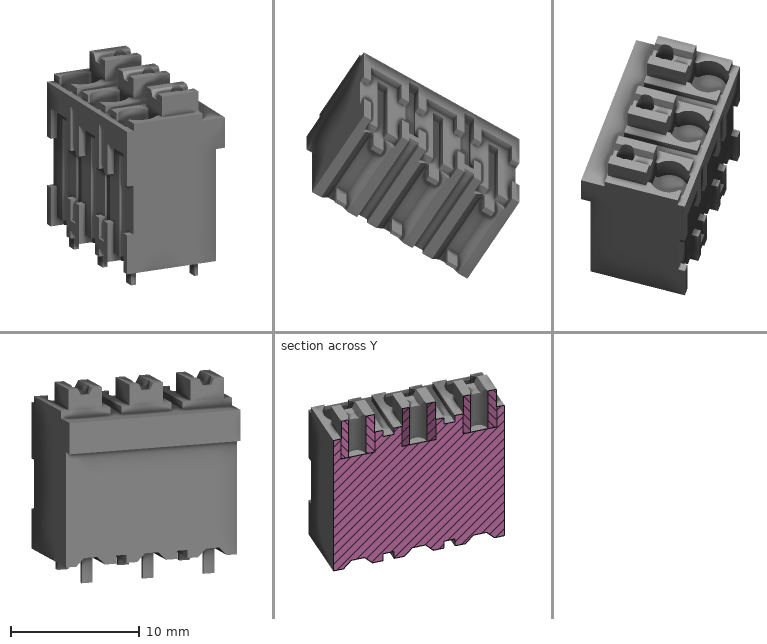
import cadquery as cq


pole_count = 3
pole_pitch = 5.08
pole_centres = [(i - (pole_count - 1) / 2) * pole_pitch for i in range(pole_count)]
gap_centres = [(a + b) / 2 for a, b in zip(pole_centres, pole_centres[1:])]
slot_width = 0.9

housing_width = 14.26
housing_depth = 8.5
housing_bottom = 1.53
housing_top = 13.21
rear_face = 7.72
rear_ledge_bottom = 10.72

pad_front = 0.59
pad_back = 6.57
pad_top = 13.8

relief_depth = 0.54
relief_top = 11.2
relief_width = 2.8
comb_bottom = 8.71
post_top = 4.73
end_post_width = 0.65
post_pair_width = 2.2

pole_slot_back = 1.13
pole_slot_top = 10.6
gap_slot_depth = 0.73
gap_slot_top = 12.38
gap_slot_bottom = 3.03

channel_top = 2.18
channel_mouth_width = 2.41

entry_shift = -0.05
entry_radius = 1.53
entry_centre_y = 1.93
entry_neck_width = 2.0
entry_front = 0.48
entry_floor = 11.93

button_width = relief_width
button_front = 3.37
button_back = 6.5
button_top = 15.45
notch_depth = 0.54
notch_top_width = 1.22
notch_shift = 0.02
notch_bottom_width = 0.65
tool_hole_diameter = 1.4
tool_hole_shift = 0.06
tool_hole_y = 5.53

pin_top = 3.09
front_pin_thickness = 0.43
rear_pin_front = 6.63
rear_pin_thickness = 0.31


def box(x_centre, width, y_front, y_back, z_bottom, z_top):
    """Box centred on x_centre, given by its limits in Y and Z."""
    block = cq.Workplane("XY").box(width, y_back - y_front, z_top - z_bottom, centered=(True, False, False))
    return block.translate((x_centre, y_front, z_bottom))


def trapezoid(x_centre, bottom_width, top_width, y_front, y_back, z_bottom, z_top):
    """Prism along Y with a symmetric trapezoidal section."""
    return (
        cq.Workplane("XZ", origin=(x_centre, y_front, 0))
        .moveTo(-bottom_width / 2, z_bottom)
        .lineTo(bottom_width / 2, z_bottom)
        .lineTo(top_width / 2, z_top)
        .lineTo(-top_width / 2, z_top)
        .close()
        .extrude(-(y_back - y_front))
    )


def make_shell():
    """Plain housing: main block, rear ledge and top pads separated by the gaps between poles."""
    shell = box(0, housing_width, 0, rear_face, housing_bottom, housing_top)
    shell = shell.union(box(0, housing_width, rear_face, housing_depth, rear_ledge_bottom, housing_top))
    shell = shell.union(box(0, housing_width, pad_front, pad_back, housing_top, pad_top))
    for x in gap_centres:
        shell = shell.cut(box(x, slot_width, pad_front, pad_back, housing_top, pad_top))
    return shell


def cut_front_relief(body):
    """Recess the front face, leaving the comb teeth above and the posts below."""
    body = body.cut(box(0, housing_width, 0, relief_depth, post_top, comb_bottom))
    for x in pole_centres:
        body = body.cut(box(x, relief_width, 0, relief_depth, comb_bottom, relief_top))

    inner_width = housing_width - 2 * end_post_width
    between_posts = box(0, inner_width, 0, relief_depth, housing_bottom, post_top)
    under_front_wall = box(0, inner_width, relief_depth, pole_slot_back, housing_bottom, channel_top)
    opening = between_posts.union(under_front_wall)
    for x in gap_centres:
        opening = opening.cut(box(x, post_pair_width, 0, pole_slot_back, housing_bottom, post_top))
    return body.cut(opening)


def cut_front_slots(body):
    """Cut the pole slots, which run out at the bottom, and the closed slots between the poles."""
    for x in pole_centres:
        body = body.cut(box(x, slot_width, 0, pole_slot_back, housing_bottom, pole_slot_top))
    for x in gap_centres:
        body = body.cut(box(x, slot_width, 0, gap_slot_depth, gap_slot_bottom, gap_slot_top))
    return body


def cut_underside_channels(body):
    """Cut the front-to-back channels: sloped at 45 degrees under poles, square between them."""
    channel_roof_width = channel_mouth_width - 2 * (channel_top - housing_bottom)
    for x in pole_centres:
        channel = trapezoid(
            x,
            channel_mouth_width,
            channel_roof_width,
            pole_slot_back,
            rear_face,
            housing_bottom,
            channel_top,
        )
        body = body.cut(channel)
    for x in gap_centres:
        body = body.cut(box(x, slot_width, 0, rear_face, housing_bottom, channel_top))
    return body


def cut_wire_entries(body):
    """Cut the round wire entries with the straight neck that opens to the front and to the button."""
    for pole_x in pole_centres:
        x = pole_x + entry_shift
        entry = (
            cq.Workplane("XY", origin=(x, entry_centre_y, entry_floor))
            .circle(entry_radius)
            .extrude(pad_top - entry_floor)
            .intersect(box(x, 2 * entry_radius, entry_front, button_front, entry_floor, pad_top))
        )
        neck = box(x, entry_neck_width, entry_front, button_front, entry_floor, pad_top)
        body = body.cut(entry.union(neck))
    return body


def make_button(x):
    """Release button with a trapezoidal notch across its top and a tool hole down to its underside."""
    button = box(x, button_width, button_front, button_back, entry_floor, button_top)
    notch = trapezoid(
        x + notch_shift,
        notch_bottom_width,
        notch_top_width,
        button_front,
        button_back,
        button_top - notch_depth,
        button_top,
    )
    tool_hole = (
        cq.Workplane("XY", origin=(x + tool_hole_shift, tool_hole_y, entry_floor))
        .circle(tool_hole_diameter / 2)
        .extrude(button_top - entry_floor)
    )
    return button.cut(notch).cut(tool_hole)


def make_pin(x, y_front, thickness):
    """Flat solder pin."""
    return box(x, slot_width, y_front, y_front + thickness, 0, pin_top)


def make_housing():
    """Complete housing with seats for the buttons and pins."""
    body = make_shell()
    body = cut_front_relief(body)
    body = cut_front_slots(body)
    body = cut_underside_channels(body)
    body = cut_wire_entries(body)
    for x in pole_centres:
        body = body.cut(box(x, button_width, button_front, button_back, entry_floor, pad_top))
    for pin in front_pins + rear_pins:
        body = body.cut(pin)
    return body


buttons = [make_button(x) for x in pole_centres]
front_pins = [make_pin(x, pole_slot_back, front_pin_thickness) for x in pole_centres]
rear_pins = [make_pin(x, rear_pin_front, rear_pin_thickness) for x in pole_centres]
housing = make_housing()

bodies = [housing, *buttons, *front_pins, *rear_pins]
result = cq.Compound.makeCompound([body.solids().val() for body in bodies])